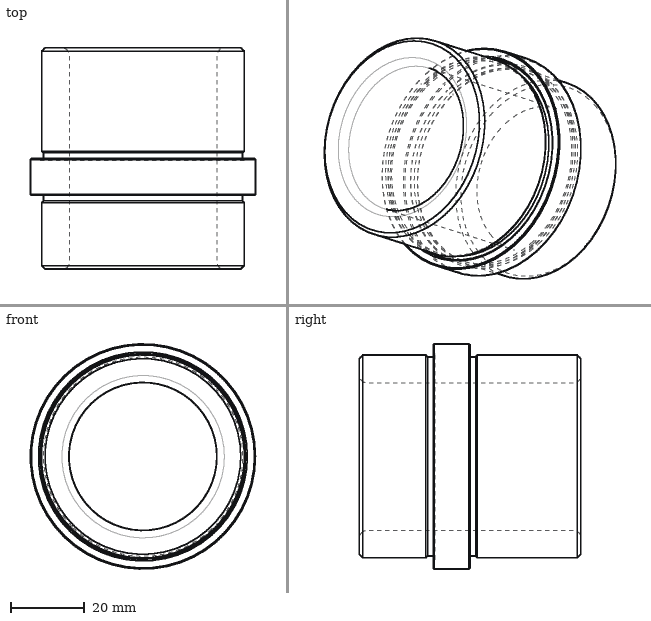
import cadquery as cq
front_length = 20.0
collar_width = 10.0
total_length = 60.0
collar_back = front_length + collar_width

bore_diameter = 40.0
body_diameter = 55.0
groove_diameter = 54.0
undercut_diameter = 56.6
collar_diameter = 61.0

end_chamfer = 1.0
collar_chamfer = 0.3
undercut_depth = 0.45
bore_rounding = 2.0
groove_width = 2.0
groove_slope = (body_diameter - groove_diameter) / 2


def y_cylinder(diameter, start, length):
    """Solid cylinder on the Y axis running from start towards +Y."""
    base = cq.Workplane("XZ", origin=(0, start, 0))
    return base.circle(diameter / 2).extrude(-length)


def make_body():
    """Plain sleeve blank with both outer ends chamfered."""
    return y_cylinder(body_diameter, 0, total_length).edges().chamfer(end_chamfer)


def make_groove(collar_face, direction):
    """Relief groove ring that also undercuts the collar; direction is the Y sense away from the collar."""
    floor = groove_diameter / 2
    surface = body_diameter / 2
    mouth = undercut_diameter / 2
    root = mouth - undercut_depth
    root_end = collar_face - direction * undercut_depth
    floor_end = collar_face + direction * (groove_width - groove_slope)
    slope_end = collar_face + direction * groove_width
    profile = (
        cq.Workplane("XY")
        .moveTo(root, root_end)
        .lineTo(floor, collar_face)
        .lineTo(floor, floor_end)
        .lineTo(surface, slope_end)
        .lineTo(mouth, slope_end)
        .lineTo(mouth, collar_face)
        .close()
    )
    return profile.revolve(360, (0, 0, 0), (0, 1, 0))


def make_collar():
    """Locating collar with both rims broken."""
    return y_cylinder(collar_diameter, front_length, collar_width).edges().chamfer(collar_chamfer)


def make_bore_cut():
    """Through bore."""
    return y_cylinder(bore_diameter, 0, total_length)


sleeve = make_body()
sleeve = sleeve.union(make_collar())
sleeve = sleeve.cut(make_groove(front_length, -1))
sleeve = sleeve.cut(make_groove(collar_back, 1))
sleeve = sleeve.cut(make_bore_cut())

bore_mouths = cq.selectors.RadiusNthSelector(0)
result = sleeve.edges(bore_mouths).fillet(bore_rounding)